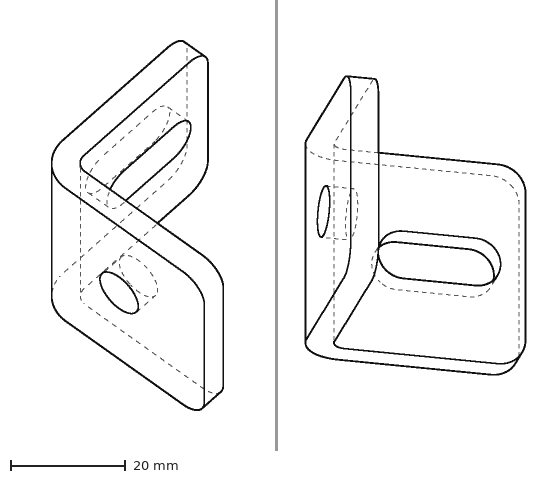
import cadquery as cq

leg_length = 40.0
height = 38.0
thickness = 5.0
inner_bend_radius = thickness / 2
outer_bend_radius = inner_bend_radius + thickness
corner_radius = 5.0
hole_diameter = 9.0
slot_length = 22.0
slot_width = hole_diameter
slot_edge_margin = slot_width / 2

mid_height = height / 2
hole_x = leg_length / 2
slot_y = leg_length - slot_edge_margin - slot_length / 2


def bent_plate():
    """L-shaped plate with its outer faces on X = 0 and Y = 0."""
    plate = (
        cq.Workplane("XY")
        .polyline([
            (0, 0),
            (leg_length, 0),
            (leg_length, thickness),
            (thickness, thickness),
            (thickness, leg_length),
            (0, leg_length),
        ])
        .close()
        .extrude(height)
    )
    plate = plate.edges(cq.selectors.NearestToPointSelector((0, 0, mid_height))).fillet(outer_bend_radius)
    inner_corner = (thickness, thickness, mid_height)
    return plate.edges(cq.selectors.NearestToPointSelector(inner_corner)).fillet(inner_bend_radius)


def round_free_corners(plate):
    """Round the top and bottom corners at the free end of each leg."""
    plate = plate.faces(">X").edges("|Y").fillet(corner_radius)
    return plate.faces(">Y").edges("|X").fillet(corner_radius)


def round_hole():
    """Cutter through the leg along X."""
    return (
        cq.Workplane("XZ")
        .center(hole_x, mid_height)
        .circle(hole_diameter / 2)
        .extrude(-thickness)
    )


def slot():
    """Cutter through the leg along Y."""
    return (
        cq.Workplane("YZ")
        .center(slot_y, mid_height)
        .slot2D(slot_length, slot_width)
        .extrude(thickness)
    )


result = round_free_corners(bent_plate()).cut(round_hole()).cut(slot())